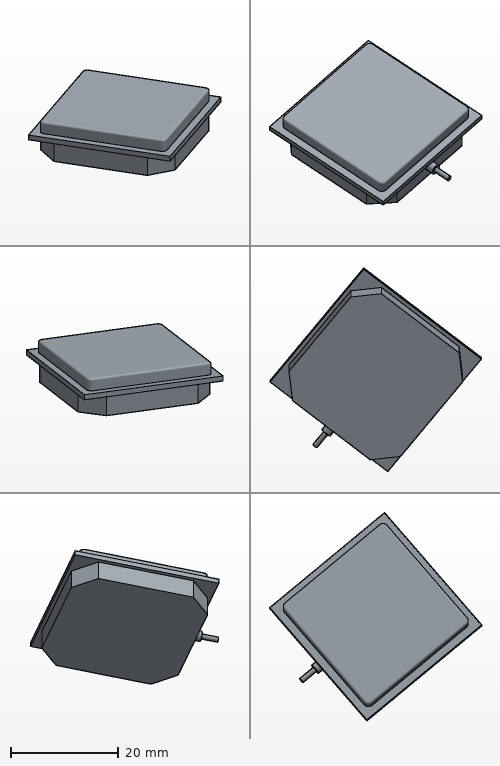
import cadquery as cq

overall_length = 32.15
plate_side = 28.0
plate_thickness = 1.0

housing_side = 26.6
housing_height = 4.0
housing_corner_cut = 4.05

cover_side = 25.0
cover_height = 2.3
cover_corner_radius = 1.0
cover_edge_radius = 0.4

collar_diameter = 2.0
collar_length = 1.5
cable_diameter = 1.0
cable_axis_height = 2.45

plate_bottom = housing_height
plate_top = plate_bottom + plate_thickness
housing_face = housing_side / 2
cable_end = overall_length - plate_side / 2


def square_block(side, height, bottom):
    """Square block centred on the Z axis."""
    return cq.Workplane("XY").workplane(offset=bottom).rect(side, side).extrude(height)


def rod_along_y(diameter, end):
    """Round rod running in +Y from the housing centre, so it is rooted in the housing."""
    return (
        cq.Workplane("XZ")
        .center(0, cable_axis_height)
        .circle(diameter / 2)
        .extrude(-end)
    )


housing = square_block(housing_side, housing_height, 0)
housing = housing.edges("|Z").chamfer(housing_corner_cut)

plate = square_block(plate_side, plate_thickness, plate_bottom)

cover = square_block(cover_side, cover_height, plate_top)
cover = cover.edges("|Z").fillet(cover_corner_radius)
cover = cover.faces(">Z").edges().fillet(cover_edge_radius)

collar = rod_along_y(collar_diameter, housing_face + collar_length)
cable = rod_along_y(cable_diameter, cable_end)

result = housing.union(plate).union(cover).union(collar).union(cable)